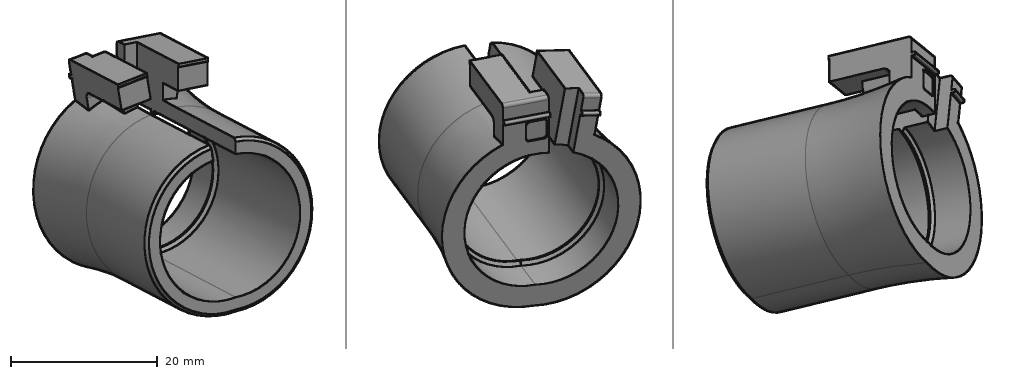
import cadquery as cq
import math


sleeve_length = 27.8
sleeve_radius = 12.55
flare_length = 12.2
flare_radius = 13.58
bore_radius = 10.3
rear_chamfer = 0.45

ridge_start = 5.5
ridge_height = 0.6
ridge_slope = 0.4
ridge_land = 0.2

tab_top = 18.98
tab_width = 4.7
tab_length = 12.9
arm_height = 3.93
tab_underside = tab_top - arm_height
tab_root = 11.13
front_rounding = 0.5
lip_height = 0.5
lip_overhang = 0.115
leg_length = 3.4
leg_fillet = 1.0
web_length = 8.77
web_angle = 10.0

tongue_reach = 2.0
tongue_length = 2.0
tongue_clearance = 0.03

bead_height = 0.6
bead_reach = 0.62
bead_center = 16.27

label_size = 3.0
label_corner = 0.45
label_depth = 0.2
label_y = -0.2
label_z = 14.0

opening_angle = 10.0


def extrude_y(sketch, y_start, y_end):
    """Extrude a closed XZ outline from y_start to y_end."""
    return sketch.extrude(y_start - y_end).translate((0, y_start, 0))


def half_shell():
    """Half of the sleeve on the +Y side, revolved about the X axis."""
    flare_rise = flare_radius - sleeve_radius
    arc_radius = (flare_length**2 + flare_rise**2) / (2 * flare_rise)
    mid_x = flare_length / 2
    mid_rise = arc_radius - math.sqrt(arc_radius**2 - mid_x**2)
    ridge_end = ridge_start + 2 * ridge_slope + ridge_land
    ridge_radius = bore_radius - ridge_height
    profile = (
        cq.Workplane("XY")
        .moveTo(0, bore_radius)
        .lineTo(0, flare_radius)
        .threePointArc((mid_x, sleeve_radius + mid_rise), (flare_length, sleeve_radius))
        .lineTo(sleeve_length - rear_chamfer, sleeve_radius)
        .lineTo(sleeve_length, sleeve_radius - rear_chamfer)
        .lineTo(sleeve_length, bore_radius)
        .lineTo(ridge_end, bore_radius)
        .lineTo(ridge_end - ridge_slope, ridge_radius)
        .lineTo(ridge_start + ridge_slope, ridge_radius)
        .lineTo(ridge_start, bore_radius)
        .close()
    )
    return profile.revolve(180, (0, 0, 0), (1, 0, 0)).rotate((0, 0, 0), (1, 0, 0), -90)


def rounded_front(end_x, root):
    """Start an XZ outline: front face from root up, rounded top edge, top face to end_x."""
    corner = front_rounding * (1 - math.sqrt(0.5))
    return (
        cq.Workplane("XZ")
        .moveTo(0, root)
        .lineTo(0, tab_top - front_rounding)
        .threePointArc((corner, tab_top - corner), (front_rounding, tab_top))
        .lineTo(end_x, tab_top)
    )


def tab():
    """Tab of the +Y half: front leg, overhanging arm with a rear lip, and a web below it."""
    rear_x = tab_length - lip_overhang
    fillet_mid = leg_fillet * (1 - math.sqrt(0.5))
    outline = (
        rounded_front(tab_length, tab_root)
        .lineTo(tab_length, tab_top - lip_height)
        .lineTo(rear_x, tab_top - lip_height)
        .lineTo(rear_x, tab_underside)
        .lineTo(leg_length + leg_fillet, tab_underside)
        .threePointArc(
            (leg_length + fillet_mid, tab_underside - fillet_mid),
            (leg_length, tab_underside - leg_fillet),
        )
        .lineTo(leg_length, tab_root)
        .close()
    )
    web_slope = math.tan(math.radians(web_angle))
    web = (
        cq.Workplane("YZ")
        .moveTo(0, tab_root)
        .lineTo(0, tab_underside)
        .lineTo(tab_underside * web_slope, tab_underside)
        .lineTo(tab_root * web_slope, tab_root)
        .close()
        .extrude(web_length)
    )
    return extrude_y(outline, 0, tab_width).union(web)


def bead(y_start, y_end):
    """Bead with a half-round nose standing out of the front face of a tab."""
    nose_radius = bead_height / 2
    top = bead_center + nose_radius
    bottom = bead_center - nose_radius
    outline = (
        cq.Workplane("XZ")
        .moveTo(0, bottom)
        .lineTo(0, top)
        .lineTo(nose_radius - bead_reach, top)
        .threePointArc((-bead_reach, bead_center), (nose_radius - bead_reach, bottom))
        .close()
    )
    return extrude_y(outline, y_start, y_end)


def tongue():
    """Front tongue that reaches across the split, its underside following the bore."""
    root = bore_radius - ridge_height
    outline = rounded_front(tongue_length, root).lineTo(tongue_length, root).close()
    bore = cq.Workplane("YZ").circle(bore_radius).extrude(tongue_length)
    return extrude_y(outline, -tongue_reach, 0).cut(bore)


def tongue_recess():
    """Space in the -Y half, before it is swung open, that receives the tongue."""
    depth = tongue_reach + tongue_clearance
    block = cq.Workplane("XY").box(tongue_length, depth, tab_top, centered=False)
    return block.translate((0, -depth, 0))


def label_recess():
    """Shallow square recess with rounded corners in the front face."""
    return (
        cq.Workplane("XY")
        .box(label_depth, label_size, label_size, centered=(False, True, True))
        .edges("|X")
        .fillet(label_corner)
        .translate((0, label_y, label_z))
    )


plain_half = half_shell().union(tab())

fixed_half = (
    plain_half
    .union(tongue())
    .union(bead(-tongue_reach, tab_width))
    .cut(label_recess())
)

hinge_start = (0, 0, -bore_radius)
hinge_end = (1, 0, -bore_radius)
swung_half = (
    plain_half.mirror("XZ")
    .cut(tongue_recess())
    .union(bead(-tab_width, -tongue_reach - tongue_clearance))
    .rotate(hinge_start, hinge_end, opening_angle)
)

result = fixed_half.union(swung_half)